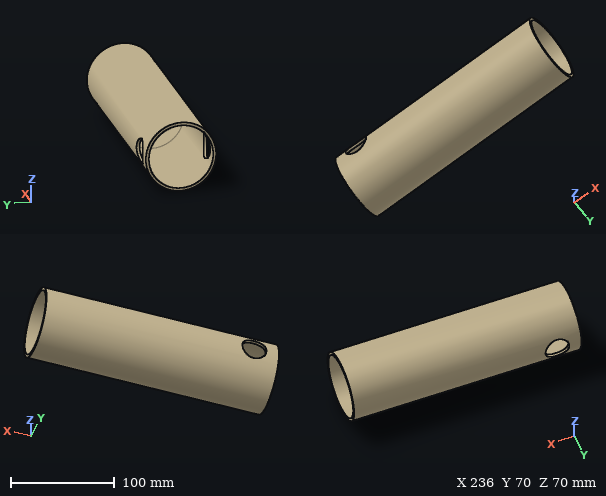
import cadquery as cq

length = 236.0
outer_diameter = 70.0
wall = 3.0
inner_diameter = outer_diameter - 2 * wall

hole_diameter = 24.5
hole_from_end = 25.0


def make_tube():
    return (
        cq.Workplane("YZ")
        .circle(outer_diameter / 2)
        .circle(inner_diameter / 2)
        .extrude(length / 2, both=True)
    )


def make_cross_hole():
    return (
        cq.Workplane("XZ")
        .center(-length / 2 + hole_from_end, 0)
        .circle(hole_diameter / 2)
        .extrude(outer_diameter, both=True)
    )


result = make_tube().cut(make_cross_hole())